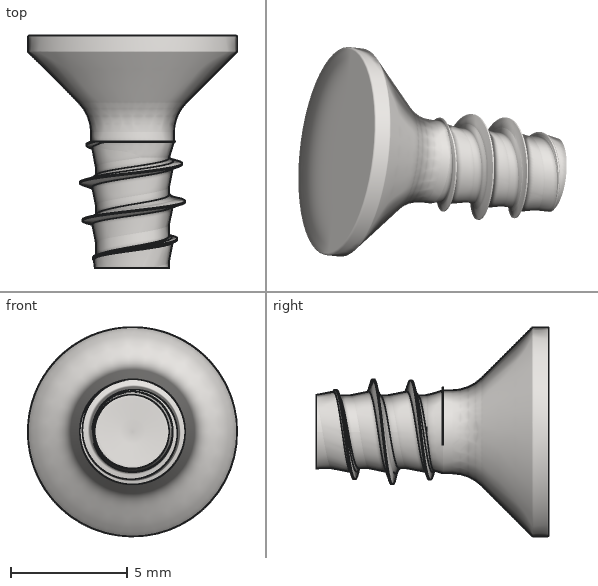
import cadquery as cq
import math


length = 10.0

head_radius = 4.5
rim_height = 0.7
rim_fillet = 0.08
shank_radius = 1.79
neck_fillet = 1.775
shoulder_depth = 4.54

core_radius = 1.575
core_taper_length = 0.70

dimple_radius = 1.47
dimple_depth = 0.12

select_margin = 0.01

pitch = 1.625
first_crest_depth = 4.70
first_turn = -0.55
last_turn = 3.5
points_per_turn = 24
crest_radius = 2.26
crest_half_width = 0.03
entry_radius = 1.90
entry_depth = 4.27
full_height_depth = 6.2
runout_depth = 7.55
end_radius = 1.58

root_offset = 0.31
knee_offset = 0.14
knee_radius = 1.80
tip_flank_offset = 0.20

ramp_radius = 1.735
ramp_length = 0.89
ramp_step = 0.03
ramp_sink = 0.02
buried_radius = 1.35


def make_body():
    """Revolve the head, neck, shank and plain core."""
    cone_end_depth = rim_height + head_radius - shank_radius
    core_start_depth = shoulder_depth + core_taper_length
    profile = (
        cq.Workplane("XY")
        .moveTo(0, 0)
        .lineTo(head_radius, 0)
        .lineTo(head_radius, -rim_height)
        .lineTo(shank_radius, -cone_end_depth)
        .lineTo(shank_radius, -shoulder_depth)
        .lineTo(core_radius, -core_start_depth)
        .lineTo(core_radius, -length)
        .lineTo(0, -length)
        .close()
    )
    body = profile.revolve(360, (0, 0, 0), (0, 1, 0))
    body = body.edges(edge_at(shank_radius, cone_end_depth)).fillet(neck_fillet)
    body = body.edges(edge_at(head_radius, rim_height)).fillet(rim_fillet)
    return body.edges(edge_at(head_radius, 0)).fillet(rim_fillet)


def cylinder(radius, start_depth, end_depth):
    """Solid cylinder on the axis between two depths."""
    return (
        cq.Workplane("XZ", origin=(0, -start_depth, 0))
        .circle(radius)
        .extrude(end_depth - start_depth)
    )


def make_dimple():
    """Cone that hollows the tip."""
    return (
        cq.Workplane("XY")
        .moveTo(0, -length)
        .lineTo(dimple_radius, -length)
        .lineTo(0, -(length - dimple_depth))
        .close()
        .revolve(360, (0, 0, 0), (0, 1, 0))
    )


def edge_at(radius, depth):
    """Select the circular edge of the given radius at the given depth."""
    reach = radius + select_margin
    return cq.selectors.BoxSelector(
        (-reach, -depth - select_margin, -reach),
        (reach, -depth + select_margin, reach),
        boundingbox=True,
    )


def crest_radius_at(depth):
    """Crest radius: rises from the shoulder, stays full, then tapers to the tip."""
    if depth < full_height_depth:
        rise = (depth - entry_depth) / (full_height_depth - entry_depth)
        return entry_radius + (crest_radius - entry_radius) * rise
    if depth < runout_depth:
        return crest_radius
    fall = min(1, (depth - runout_depth) / (length - runout_depth))
    return crest_radius + (end_radius - crest_radius) * fall


def thread_section(turn):
    """Corners (radius, depth) of the thread and ramp section at the given turn."""
    helix_depth = first_crest_depth + pitch * turn
    crest_depth = max(helix_depth, shoulder_depth)
    outer = crest_radius_at(helix_depth)
    height = (outer - core_radius) / (crest_radius - core_radius)
    root_depth = crest_depth - crest_half_width - (root_offset - crest_half_width) * height
    knee_depth = crest_depth - crest_half_width - (knee_offset - crest_half_width) * height
    knee = core_radius + (knee_radius - core_radius) * height
    ramp_top = min(ramp_radius, outer - ramp_step)
    flank_depth = helix_depth + crest_half_width + (tip_flank_offset - crest_half_width) * height
    ramp_depth = max(flank_depth, crest_depth + crest_half_width + ramp_step)
    ramp_end_depth = helix_depth + tip_flank_offset + ramp_length
    return [
        (buried_radius, root_depth),
        (core_radius - ramp_sink, root_depth),
        (knee, knee_depth),
        (outer, crest_depth - crest_half_width),
        (outer, crest_depth + crest_half_width),
        (ramp_top, ramp_depth),
        (core_radius - ramp_sink, ramp_end_depth),
        (buried_radius, ramp_end_depth),
    ]


def thread_points(turn):
    """Section corners placed in space; turn 0 lies on -X and the helix advances towards -Z."""
    angle = 2 * math.pi * turn
    return [
        cq.Vector(-radius * math.cos(angle), -depth, -radius * math.sin(angle))
        for radius, depth in thread_section(turn)
    ]


def make_threaded_core():
    """Span the helical corner curves with ruled faces, cap the ends, add the core and trim to the shank."""
    steps = math.ceil((last_turn - first_turn) * points_per_turn)
    turn_step = (last_turn - first_turn) / steps
    sections = [thread_points(first_turn + i * turn_step) for i in range(steps + 1)]
    curves = [cq.Edge.makeSpline(list(corner)) for corner in zip(*sections)]
    faces = [cq.Face.makeRuledSurface(curves[i - 1], curves[i]) for i in range(len(curves))]
    for end in (sections[0], sections[-1]):
        faces.append(cq.Face.makeFromWires(cq.Wire.makePolygon(end, close=True)))
    thread = cq.Solid.makeSolid(cq.Shell.makeShell(faces))
    core = cylinder(core_radius, 0, length)
    threaded_zone = cylinder(head_radius, shoulder_depth, length)
    return core.union(cq.Workplane(thread)).intersect(threaded_zone)


result = make_body().union(make_threaded_core()).cut(make_dimple())